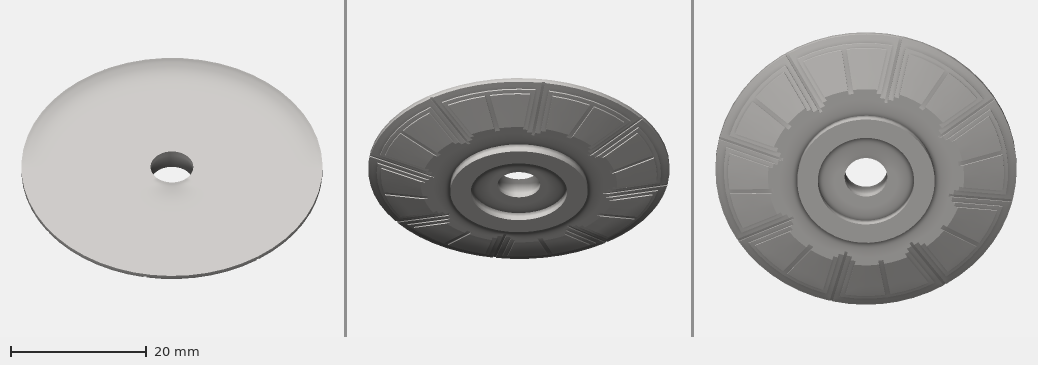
import cadquery as cq

disc_radius = 22.22
rim_height = 0.65
dish_depth = 3.3
cone_slope = 0.29

total_height = 4.6
boss_radius = 10.15
recess_radius = 7.1
bore_radius = 3.15

sector_count = 8
groove_width = 0.45
groove_depth = 0.2
frame_radius = 21.0
frame_gap = 2.0
panel_radius = 20.35
panel_gap = 3.4
step_height = 0.185
bar_width = 0.75

sector_angle = 360.0 / sector_count

strip_length = 3 * disc_radius
strip_height = 3 * dish_depth


def cone_layer(radius, raise_height):
    """Solid disc with a conical underside, raised downward and cut flat at the dish depth."""
    edge_depth = rim_height + (disc_radius - radius) * cone_slope + raise_height
    flat_radius = radius - (dish_depth - edge_depth) / cone_slope
    return (
        cq.Workplane("XZ")
        .moveTo(0, 0)
        .lineTo(radius, 0)
        .lineTo(radius, -edge_depth)
        .lineTo(flat_radius, -dish_depth)
        .lineTo(0, -dish_depth)
        .close()
        .revolve(360, (0, 0, 0), (0, 1, 0))
    )


def radial_strips(width, start_angle):
    """Full-height strips of constant width, one along each sector direction."""
    strips = cq.Workplane("XY")
    for index in range(sector_count // 2):
        strip = (
            cq.Workplane("XY")
            .box(strip_length, width, strip_height)
            .rotate((0, 0, 0), (0, 0, 1), start_angle + index * sector_angle)
        )
        strips = strips.add(strip)
    return strips.combine()


groove_floor = cone_layer(disc_radius, -groove_depth)
cone = cone_layer(disc_radius, 0).cut(radial_strips(groove_width, 0))
frames = cone_layer(frame_radius, step_height).cut(radial_strips(frame_gap, 0))
panels = (
    cone_layer(panel_radius, 2 * step_height)
    .cut(radial_strips(panel_gap, 0))
    .cut(radial_strips(bar_width, sector_angle / 2))
)

boss_height = total_height - dish_depth
boss = (
    cq.Workplane("XY", origin=(0, 0, -dish_depth))
    .circle(boss_radius)
    .circle(recess_radius)
    .extrude(-boss_height)
)
bore = cq.Workplane("XY").circle(bore_radius).extrude(-total_height)

result = groove_floor.union(cone).union(frames).union(panels).union(boss).cut(bore)